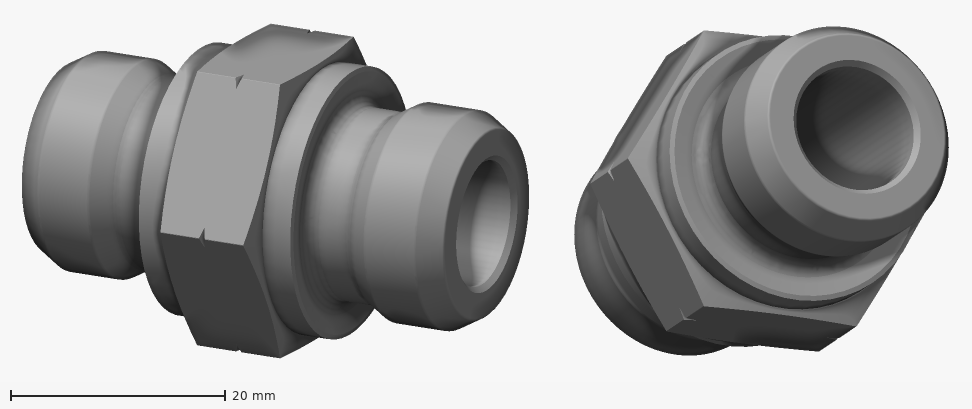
import cadquery as cq
import math


total_length = 44.0
bore_diameter = 12.0
bore_chamfer = 0.5

hex_width = 10.0
hex_across_flats = 27.0
hex_corner_diameter = 31.14
hex_chamfer_start_diameter = 26.0
hex_chamfer_angle = 15.0

notch_depth = 0.52
notch_included_angle = 60.0

collar_diameter = 25.8
collar_ridge_x = 8.0
ridge_diameter = 24.9
ridge_bevel_angle = 15.0
recess_angle = 8.0

thread_diameter = 20.9
neck_diameter = 18.3
crest_inner_x = 14.37
crest_outer_x = 19.58
thread_cone_angle = 30.0

end_fillet = 0.3
crest_fillet = 0.5
neck_cone_fillet = 1.0
neck_collar_fillet = 1.25

half_length = total_length / 2
half_hex_width = hex_width / 2
hex_sharp_diameter = hex_across_flats / math.cos(math.radians(30))
corner_radius = hex_corner_diameter / 2
bore_radius = bore_diameter / 2
thread_radius = thread_diameter / 2
neck_radius = neck_diameter / 2
collar_radius = collar_diameter / 2
ridge_radius = ridge_diameter / 2


def slope(angle):
    return math.tan(math.radians(angle))


def revolve_about_x(points):
    """Turn a closed outline of (x, radius) points about the X axis."""
    return cq.Workplane("XY").polyline(points).close().revolve(360, (0, 0, 0), (1, 0, 0))


def fillet_circle(solid, x, radius, fillet_radius):
    """Round the circular edge of the given radius at position x."""
    tolerance = 1e-4

    def on_circle(edge):
        if edge.geomType() != "CIRCLE":
            return False
        center_x = edge.arcCenter().x
        return abs(center_x - x) < tolerance and abs(edge.radius() - radius) < tolerance

    return solid.newObject(solid.edges().filter(on_circle).vals()).fillet(fillet_radius)


def make_half_body():
    """Collar, neck and threaded end on the +X side, solid down to the axis."""
    collar_bevel_x = collar_ridge_x - (collar_radius - ridge_radius) * slope(ridge_bevel_angle)
    recess_x = collar_ridge_x - (ridge_radius - neck_radius) * slope(recess_angle)
    neck_end_x = crest_inner_x - (thread_radius - neck_radius) / slope(thread_cone_angle)
    end_radius = thread_radius - (half_length - crest_outer_x) * slope(thread_cone_angle)

    body = revolve_about_x([
        (0, 0),
        (0, collar_radius),
        (collar_bevel_x, collar_radius),
        (collar_ridge_x, ridge_radius),
        (recess_x, neck_radius),
        (neck_end_x, neck_radius),
        (crest_inner_x, thread_radius),
        (crest_outer_x, thread_radius),
        (half_length, end_radius),
        (half_length, 0),
    ])
    body = fillet_circle(body, recess_x, neck_radius, neck_collar_fillet)
    body = fillet_circle(body, neck_end_x, neck_radius, neck_cone_fillet)
    body = fillet_circle(body, crest_inner_x, thread_radius, crest_fillet)
    body = fillet_circle(body, crest_outer_x, thread_radius, crest_fillet)
    return fillet_circle(body, half_length, end_radius, end_fillet)


def make_hexagon():
    """Hexagon with flats facing +Z and -Z, chamfered, slightly rounded corners and a V groove across them."""
    hexagon = (
        cq.Workplane("YZ")
        .polygon(6, hex_sharp_diameter)
        .extrude(half_hex_width, both=True)
    )

    chamfer_radius = hex_chamfer_start_diameter / 2
    chamfer_x = half_hex_width - (corner_radius - chamfer_radius) * slope(hex_chamfer_angle)
    envelope = revolve_about_x([
        (-half_hex_width, 0),
        (-half_hex_width, chamfer_radius),
        (-chamfer_x, corner_radius),
        (chamfer_x, corner_radius),
        (half_hex_width, chamfer_radius),
        (half_hex_width, 0),
    ])

    clearance = 1.0
    groove_half_width = (notch_depth + clearance) * slope(notch_included_angle / 2)
    groove = revolve_about_x([
        (0, corner_radius - notch_depth),
        (groove_half_width, corner_radius + clearance),
        (-groove_half_width, corner_radius + clearance),
    ])
    return hexagon.intersect(envelope).cut(groove)


def make_bore():
    """Through bore with a chamfered mouth at each end."""
    mouth_radius = bore_radius + bore_chamfer
    return revolve_about_x([
        (-half_length, 0),
        (-half_length, mouth_radius),
        (-half_length + bore_chamfer, bore_radius),
        (half_length - bore_chamfer, bore_radius),
        (half_length, mouth_radius),
        (half_length, 0),
    ])


half_body = make_half_body()
result = (
    half_body
    .union(half_body.mirror("YZ"))
    .union(make_hexagon())
    .cut(make_bore())
)